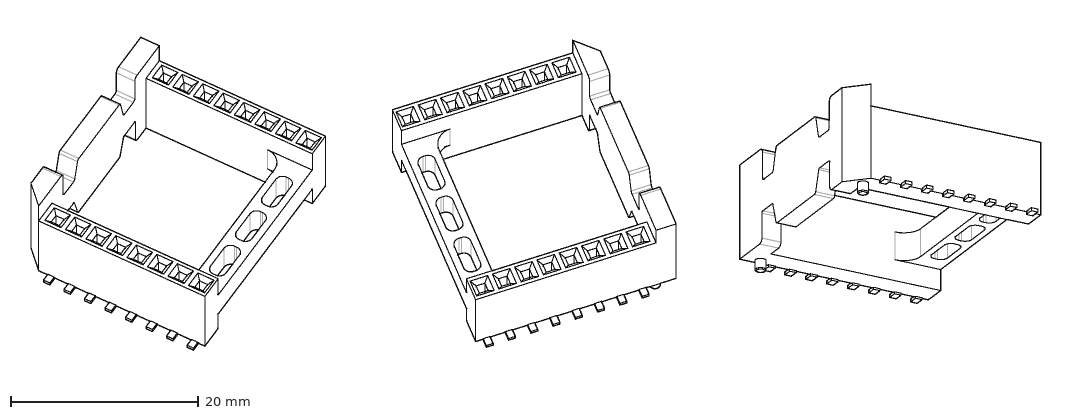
import cadquery as cq


body_length = 22.88
body_width = 25.56
wall_height = 11.0
wall_thickness = 2.3
wall_bevel = wall_thickness
half_width = body_width / 2

row_width = 2.82
row_height = 8.46
row_inner_y = half_width - row_width
row_center_y = half_width - row_width / 2

contact_count = 8
contact_pitch = 2.54
last_contact_x = body_length - contact_pitch / 2
funnel_mouth = 2.0
funnel_throat = 1.0
funnel_depth = 0.5
socket_depth = 3.0
lead_width = 0.8
lead_thickness = 0.36
lead_bottom_z = -0.23
lead_reach = 0.93
lead_overlap = 0.2

bar_width = 3.53
bar_bottom_z = 2.45
bar_height = 3.25
bar_corner_radius = 2.0
slot_count = 3
slot_length = 4.45
slot_width = 1.9
slot_corner_radius = 0.8
slot_pitch = 5.5

upper_column_y = 7.58
upper_floor_z = 7.22
upper_tab_root_y = 5.18
upper_tab_top_y = 4.5
upper_tab_z = 10.0
lower_column_y = 7.7
lower_ceiling_z = 3.6
lower_tab_root_y = 5.25
lower_tab_bottom_y = 4.45
lower_tab_z = 0.95
column_corner_radius = 0.5
tab_corner_radius = 0.3
lower_notch_radius = 0.2
upper_notch_radius = 0.3

peg_diameter = 1.2
peg_length = 1.2
peg_tip_chamfer = 0.12
peg_x = 2.15
peg_inset_plus_y = 0.75
peg_inset_minus_y = 1.58
peg_positions_y = (half_width - peg_inset_plus_y, -half_width + peg_inset_minus_y)


def box(x_min, x_max, y_min, y_max, z_min, z_max):
    """Axis-aligned block given by its limits."""
    size = (x_max - x_min, y_max - y_min, z_max - z_min)
    return cq.Workplane("XY").box(*size, centered=False).translate((x_min, y_min, z_min))


def make_corner_cut():
    """Triangular prism that bevels the outer -Y corner of the end wall at 45 degrees."""
    triangle = [(0, -half_width), (wall_bevel, -half_width), (0, wall_bevel - half_width)]
    return cq.Workplane("XY").polyline(triangle).close().extrude(wall_height)


def round_corners(wall, corners, radius):
    """Fillet the wall edges along X at the given (y, z) corners and at their mirror images."""
    for y, z in corners:
        for side in (1, -1):
            edge = cq.selectors.NearestToPointSelector((wall_thickness / 2, side * y, z))
            wall = wall.edges("|X").edges(edge).fillet(radius)
    return wall


def make_end_wall():
    """Wall with two end columns and a central tab, thinned between them by four notches."""
    column_top = (upper_column_y, wall_height)
    column_bottom = (lower_column_y, 0)
    tab_top = (upper_tab_top_y, upper_tab_z)
    tab_bottom = (lower_tab_bottom_y, lower_tab_z)
    upper_notch = [(upper_column_y, upper_floor_z), (upper_tab_root_y, upper_floor_z)]
    lower_notch = [(lower_tab_root_y, lower_ceiling_z), (lower_column_y, lower_ceiling_z)]

    upper_half = [(half_width, wall_height), column_top, *upper_notch, tab_top]
    lower_half = [tab_bottom, *lower_notch, column_bottom, (half_width, 0)]
    mirrored_upper = [(-y, z) for y, z in reversed(upper_half)]
    mirrored_lower = [(-y, z) for y, z in reversed(lower_half)]
    outline = upper_half + mirrored_upper + mirrored_lower + lower_half

    wall = cq.Workplane("YZ").polyline(outline).close().extrude(wall_thickness)
    wall = round_corners(wall, [column_top, column_bottom], column_corner_radius)
    wall = round_corners(wall, [tab_top, tab_bottom], tab_corner_radius)
    wall = round_corners(wall, upper_notch, upper_notch_radius)
    wall = round_corners(wall, lower_notch, lower_notch_radius)
    return wall.cut(make_corner_cut())


def contact_positions():
    """X positions of the contacts in a row."""
    return [last_contact_x - index * contact_pitch for index in range(contact_count)]


def make_socket(x, y):
    """Square funnel leading into a blind square hole."""
    funnel = (
        cq.Workplane("XY", origin=(x, y, row_height))
        .rect(funnel_mouth, funnel_mouth)
        .workplane(offset=-funnel_depth)
        .rect(funnel_throat, funnel_throat)
        .loft()
    )
    hole = (
        cq.Workplane("XY", origin=(x, y, row_height - socket_depth))
        .rect(funnel_throat, funnel_throat)
        .extrude(socket_depth - funnel_depth)
    )
    return funnel.union(hole)


def make_lead(x):
    """Flat lead leaving the +Y side of the body, partly sunk into its underside."""
    return box(
        x - lead_width / 2,
        x + lead_width / 2,
        half_width - lead_overlap,
        half_width + lead_reach,
        lead_bottom_z,
        lead_bottom_z + lead_thickness,
    )


def make_row():
    """Socket row on the +Y side with its leads."""
    row = box(wall_thickness, body_length, row_inner_y, half_width, 0, row_height)
    for x in contact_positions():
        row = row.cut(make_socket(x, row_center_y)).union(make_lead(x))
    return row


def make_cross_bar():
    """Bar with three round-cornered slots, whose inner corners flare into the rows."""
    bar_inner_x = body_length - bar_width
    bar_center_x = body_length - bar_width / 2
    flare_start_x = bar_inner_x - bar_corner_radius
    bar_top_z = bar_bottom_z + bar_height
    bar = box(flare_start_x, body_length, -row_inner_y, row_inner_y, bar_bottom_z, bar_top_z)
    opening = box(
        flare_start_x - bar_corner_radius,
        bar_inner_x,
        -row_inner_y,
        row_inner_y,
        bar_bottom_z,
        bar_top_z,
    )
    opening = opening.edges("|Z and >X").fillet(bar_corner_radius)
    slots = (
        cq.Workplane("XY", origin=(bar_center_x, 0, bar_bottom_z))
        .rarray(1, slot_pitch, 1, slot_count)
        .rect(slot_width, slot_length)
        .extrude(bar_height)
        .edges("|Z")
        .fillet(slot_corner_radius)
    )
    return bar.cut(opening).cut(slots)


def make_peg(y):
    """Round locating peg with a chamfered tip."""
    return (
        cq.Workplane("XY", origin=(peg_x, y, 0))
        .circle(peg_diameter / 2)
        .extrude(-peg_length)
        .faces("<Z")
        .chamfer(peg_tip_chamfer)
    )


row = make_row()
result = make_end_wall().union(row).union(row.mirror("XZ")).union(make_cross_bar())
for peg_y in peg_positions_y:
    result = result.union(make_peg(peg_y))